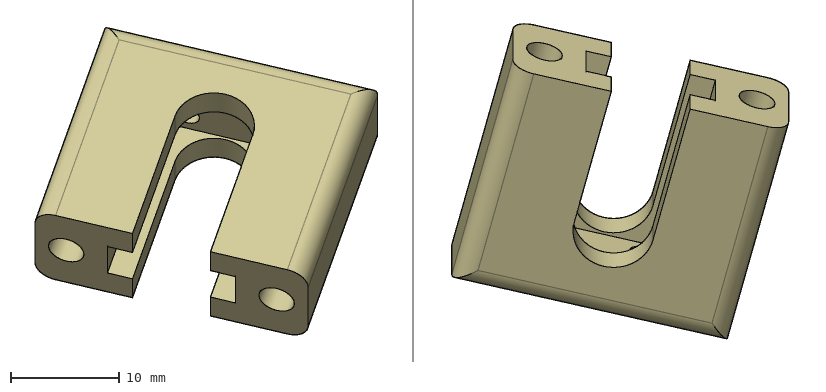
import cadquery as cq

width = 26.3
depth = 23.0
height = 10
edge_radius = 2.0
front_y = -depth / 2
back_y = depth / 2

slot_width = 7.5
slot_radius = slot_width / 2
slot_length = 17.75

channel_width = 12.3
channel_height = 4.1
channel_length = 18.02

outer_hole_diameter = 3.4
outer_hole_spacing = 20.25
inner_hole_diameter = 2.4
inner_hole_spacing = slot_width


def make_body():
    """Block with the upper and lower edges rounded on both sides and the back."""
    block = cq.Workplane("XY").box(width, depth, height)
    return block.faces("<X or >X or >Y").edges("|X or |Y").edges("<Z or >Z").fillet(edge_radius)


def make_slot():
    """Slot cutter, open at the front and half round at the back."""
    arc_start_y = front_y + slot_length - slot_radius
    return (
        cq.Workplane("XY", origin=(0, 0, -height / 2))
        .moveTo(-slot_radius, front_y)
        .lineTo(-slot_radius, arc_start_y)
        .threePointArc((0, front_y + slot_length), (slot_radius, arc_start_y))
        .lineTo(slot_radius, front_y)
        .close()
        .extrude(height)
    )


def make_channel():
    """Rectangular channel cutter, open at the front."""
    return cq.Workplane("XY", origin=(0, front_y + channel_length / 2, 0)).box(
        channel_width, channel_length, channel_height
    )


def make_hole_pair(diameter, spacing):
    """Two cutters running the whole depth of the block."""
    return (
        cq.Workplane("XZ", origin=(0, back_y, 0))
        .pushPoints([(-spacing / 2, 0), (spacing / 2, 0)])
        .circle(diameter / 2)
        .extrude(depth)
    )


result = (
    make_body()
    .cut(make_slot())
    .cut(make_channel())
    .cut(make_hole_pair(outer_hole_diameter, outer_hole_spacing))
    .cut(make_hole_pair(inner_hole_diameter, inner_hole_spacing))
)